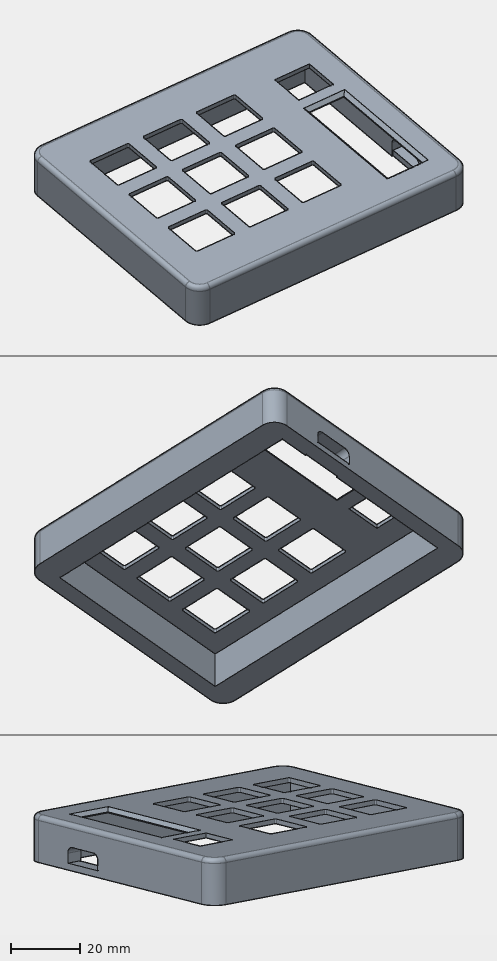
import cadquery as cq

length_x = 82.2
length_y = 98.4
height = 14.0
corner_radius = 5.0
top_edge_radius = 1.5

side_wall = 8.4
end_wall = 5.0
plate_thickness = 1.5
cavity_x = length_x - 2 * side_wall
cavity_y = length_y - 2 * end_wall
cavity_height = height - plate_thickness

key_count = 3
key_size = 14.0
key_pitch = 19.1
key_corner_radius = 0.5
key_grid_y = -11.9

strip_y = 33.8
small_window_x = -18.9
small_window_width = 11.7
small_window_height = 12.4
display_x = 11.2
display_width = 38.3
display_height = 12.4
display_bevel = 1.2

notch_x = 16.4
notch_width = 13.2
notch_height = 7.0
notch_corner_radius = 2.0
sill_height = 2.1
sill_setback = 0.4


def make_shell():
    """Rounded block with softened top edge, hollowed from below."""
    body = (
        cq.Workplane("XY")
        .rect(length_x, length_y)
        .extrude(height)
        .edges("|Z")
        .fillet(corner_radius)
        .faces(">Z")
        .edges()
        .fillet(top_edge_radius)
    )
    cavity = cq.Workplane("XY").rect(cavity_x, cavity_y).extrude(cavity_height)
    return body.cut(cavity)


def plate_opening(x, y, width, depth):
    """Rectangular cutter that passes through the top plate only."""
    return (
        cq.Workplane("XY", origin=(x, y, cavity_height))
        .rect(width, depth)
        .extrude(plate_thickness)
    )


def key_openings():
    """Square grid of key cutters with slightly rounded corners."""
    return (
        cq.Workplane("XY", origin=(0, key_grid_y, cavity_height))
        .rarray(key_pitch, key_pitch, key_count, key_count)
        .rect(key_size, key_size)
        .extrude(plate_thickness)
        .edges("|Z")
        .fillet(key_corner_radius)
    )


def display_opening():
    """Display window cutter whose upper rim flares outward at 45 degrees."""
    window = plate_opening(display_x, strip_y, display_width, display_height)
    flare = (
        cq.Workplane("XY", origin=(display_x, strip_y, height))
        .rect(display_width + 2 * display_bevel, display_height + 2 * display_bevel)
        .workplane(offset=-display_bevel)
        .rect(display_width, display_height)
        .loft()
    )
    return window.union(flare)


def connector_notch():
    """Cutter with rounded upper corners that leaves the sill standing."""
    inner_face_y = cavity_y / 2
    notch = (
        cq.Workplane("XY", origin=(notch_x, inner_face_y + end_wall / 2, 0))
        .rect(notch_width, end_wall)
        .extrude(notch_height)
        .edges("|Y and >Z")
        .fillet(notch_corner_radius)
    )
    sill_depth = end_wall - sill_setback
    sill = (
        cq.Workplane("XY", origin=(notch_x, length_y / 2 - sill_depth / 2, 0))
        .rect(notch_width, sill_depth)
        .extrude(sill_height)
    )
    return notch.cut(sill)


result = (
    make_shell()
    .cut(key_openings())
    .cut(plate_opening(small_window_x, strip_y, small_window_width, small_window_height))
    .cut(display_opening())
    .cut(connector_notch())
)